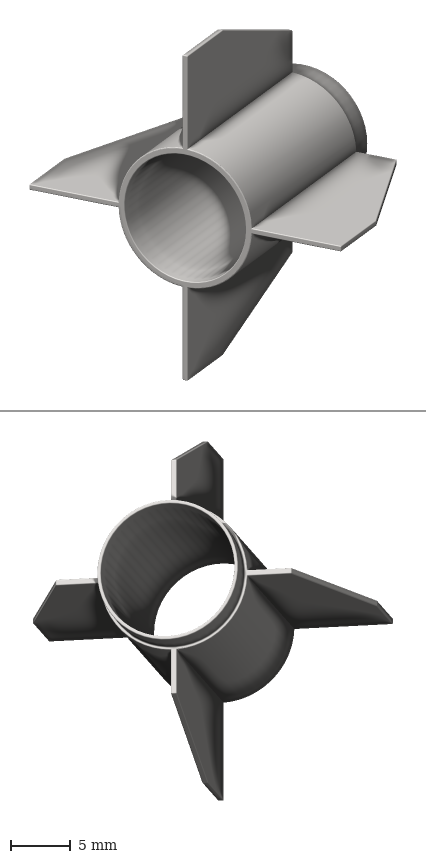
import cadquery as cq
import math

span = 29.48
total_length = 21.58
collar_length = 2.5
tube_diameter = 12.62
collar_diameter = 12.05
bore_diameter = 11.45
fin_thickness = 0.5
fin_count = 4
fin_tip_length = 6.4
fin_shoulder = 10.08
edge_radius = 0.1

body_length = total_length - collar_length
tip_radius = span / 2
fin_root = (bore_diameter + tube_diameter) / 4


def cylinder(diameter, length):
    """Solid cylinder along +Y from Y = 0."""
    return cq.Workplane("XZ").circle(diameter / 2).extrude(-length)


def fin(angle):
    """Tapered flat fin, turned about the tube axis."""
    outline = [
        (fin_root, 0),
        (tip_radius, 0),
        (tip_radius, fin_tip_length),
        (fin_shoulder, body_length),
        (fin_root, body_length),
    ]
    plate = cq.Workplane("XY").polyline(outline).close().extrude(fin_thickness / 2, both=True)
    return plate.rotate((0, 0, 0), (0, 1, 0), angle)


result = cylinder(tube_diameter, body_length).union(cylinder(collar_diameter, total_length))
result = result.cut(cylinder(bore_diameter, total_length))

for index in range(fin_count):
    result = result.union(fin(index * 360 / fin_count))

end_and_taper_edges = result.edges("not |Y")
tip_edges = result.edges("|Y").filter(lambda edge: math.hypot(edge.Center().x, edge.Center().z) > fin_shoulder)
result = result.newObject(end_and_taper_edges.vals() + tip_edges.vals()).fillet(edge_radius)